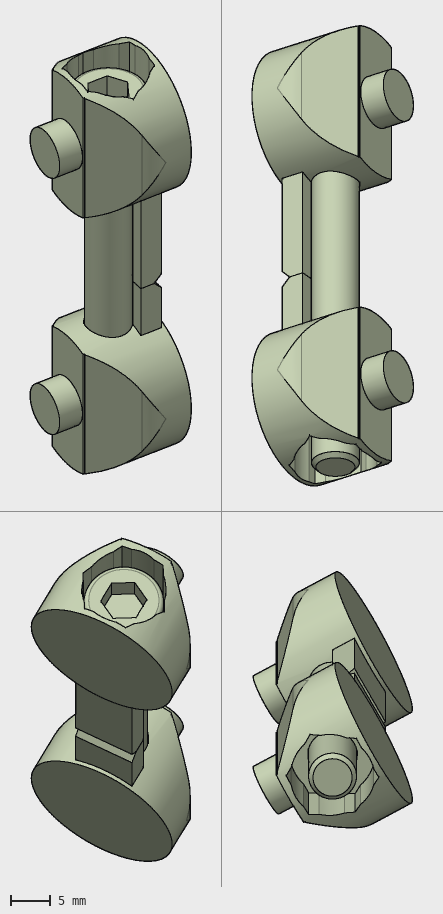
import cadquery as cq
import math


disc_diameter = 20.0
disc_thickness = 12.0
disc_spacing = 40.0
back_y = 5.9
front_y = back_y - disc_thickness
shoulder_width = 7.4
flank_blend_radius = 4.0
strip_width = 7.1
strip_height = 0.2
shoulder_y = front_y + strip_height
pin_diameter = 6.8
pin_length = 3.4

bolt_hole_diameter = 6.2
pocket_hex_width = 10.05
pocket_round_diameter = 10.55

shell_width = 8.0
shell_back_y = back_y - 0.55
shell_thickness = 3.1
seam_z = -3.5
seam_chamfer = 1.1

bolt_diameter = 6.0
bolt_length = 50.0
head_diameter = 10.0
head_height = 6.0
head_edge_radius = 0.6
socket_width = 5.0
socket_depth = 3.0
tip_diameter = 4.9
tip_chamfer_height = 0.6

disc_radius = disc_diameter / 2
disc_z = disc_spacing / 2
bolt_seat_z = disc_z


def hex_corner_diameter(width_across_flats):
    return width_across_flats / math.cos(math.pi / 6)


def clamp_disc():
    """Disc lying along Y with two blended 45 degree flanks, a raised strip and a pin, centred on Z = 0."""
    disc = cq.Workplane("XZ", origin=(0, back_y, 0)).circle(disc_radius).extrude(disc_thickness)

    half_shoulder = shoulder_width / 2
    flank_top_y = shoulder_y + disc_radius - half_shoulder
    outline = (
        cq.Workplane("XY")
        .polyline([
            (-disc_radius, back_y),
            (-disc_radius, flank_top_y),
            (-half_shoulder, shoulder_y),
            (half_shoulder, shoulder_y),
            (disc_radius, flank_top_y),
            (disc_radius, back_y),
        ])
        .close()
        .extrude(disc_radius, both=True)
    )
    for widest_side in ("<X", ">X"):
        outline = outline.faces(widest_side).edges("|Z").edges("<Y").fillet(flank_blend_radius)

    strip = (
        cq.Workplane("XZ", origin=(0, shoulder_y, 0))
        .rect(strip_width, disc_diameter)
        .extrude(strip_height)
    )

    pin = cq.Workplane("XZ", origin=(0, front_y, 0)).circle(pin_diameter / 2).extrude(pin_length)
    return disc.intersect(outline.union(strip)).union(pin)


def end_pocket():
    """Hexagon overlaid with a round bore, from the middle of the disc outwards along +Z."""
    hexagon = cq.Workplane("XY").polygon(6, hex_corner_diameter(pocket_hex_width)).extrude(disc_radius)
    bore = cq.Workplane("XY").circle(pocket_round_diameter / 2).extrude(disc_radius)
    return hexagon.union(bore)


def make_clamp(shell_length):
    """Clamp end with its disc centred on Z = 0, pocket facing +Z and half-shell running down -Z."""
    shell = (
        cq.Workplane("XY")
        .box(shell_width, shell_thickness, shell_length, centered=(True, False, False))
        .translate((0, shell_back_y - shell_thickness, -shell_length))
        .faces("<Z")
        .edges(">Y")
        .chamfer(seam_chamfer)
    )
    bolt_hole = cq.Workplane("XY").circle(bolt_hole_diameter / 2).extrude(disc_spacing, both=True)
    return clamp_disc().union(shell).cut(bolt_hole).cut(end_pocket())


def make_bolt():
    """Socket head bolt with its head seated in the upper clamp end."""
    seat = cq.Workplane("XY", origin=(0, 0, bolt_seat_z))
    head = seat.circle(head_diameter / 2).extrude(head_height).faces(">Z").edges().fillet(head_edge_radius)
    shank = (
        seat.circle(bolt_diameter / 2)
        .extrude(-bolt_length)
        .faces("<Z")
        .edges()
        .chamfer(tip_chamfer_height, (bolt_diameter - tip_diameter) / 2)
    )
    socket = (
        cq.Workplane("XY", origin=(0, 0, bolt_seat_z + head_height))
        .polygon(6, hex_corner_diameter(socket_width))
        .extrude(-socket_depth)
        .rotate((0, 0, 0), (0, 0, 1), 30)
    )
    return head.union(shank).cut(socket)


upper_clamp = make_clamp(disc_z - seam_z).translate((0, 0, disc_z))
lower_clamp = make_clamp(disc_z + seam_z).mirror("XY").translate((0, 0, -disc_z))
bolt = make_bolt()

result = cq.Compound.makeCompound([
    upper_clamp.solids().val(),
    lower_clamp.solids().val(),
    bolt.solids().val(),
])